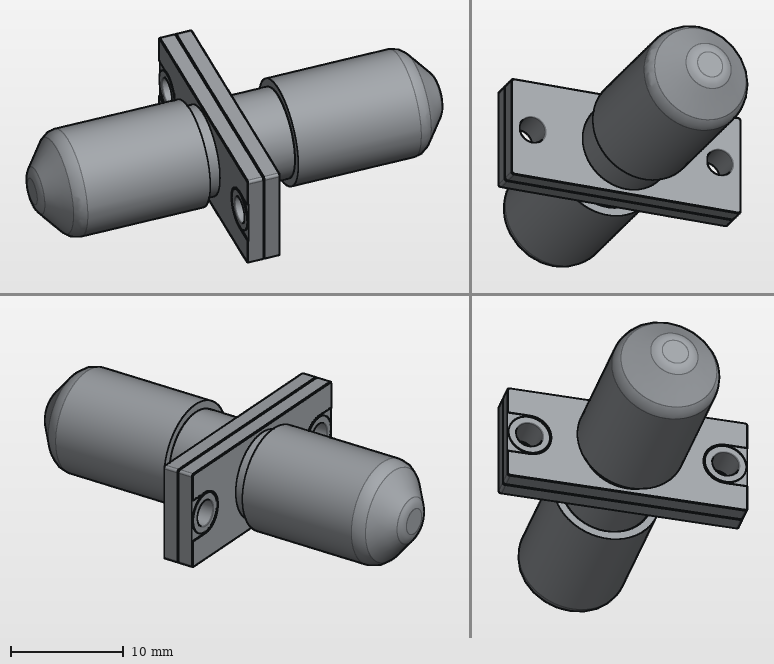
import cadquery as cq
import math


flange_width = 22.05
flange_height = 9.3
half_flange_thickness = 1.55
flange_corner_radius = 0.25
flange_edge_chamfer = 0.08

hole_spacing = 18.0
hole_diameter = 2.45
hole_rim_radius = 0.05
slot_width = 4.06
slot_depth = 0.1
boss_diameter = 3.8

barrel_diameter = 8.4
front_barrel_exposed = 1.2
rear_barrel_exposed = 4.05
barrel_end_chamfer = 0.06

cap_diameter = 9.86
cap_length = 15.0
cone_half_angle = 50.0
cap_tip_diameter = 3.5
cap_blend_radius = 1.5

front_cap_mouth = half_flange_thickness + front_barrel_exposed
rear_cap_mouth = half_flange_thickness + rear_barrel_exposed


def make_half_flange(side):
    """Half of the flange on the side -1 (front) or +1 (rear) of the joint, edges chamfered."""
    plate = (
        cq.Workplane("XY")
        .box(flange_width, half_flange_thickness, flange_height)
        .edges("|Y")
        .fillet(flange_corner_radius)
        .faces("<Y or >Y")
        .edges()
        .chamfer(flange_edge_chamfer)
    )
    return plate.translate((0, side * half_flange_thickness / 2, 0))


def cylinder_along_y(diameter, start, end):
    """Cylinder on the Y axis from Y = start to Y = end."""
    return (
        cq.Workplane("XZ", origin=(0, start, 0))
        .circle(diameter / 2)
        .extrude(start - end)
    )


def make_slot_cut(side):
    """Shallow slot on the front face at the -X (-1) or +X (+1) end, leaving the ring boss standing."""
    front_face = -half_flange_thickness
    slot_floor = front_face + slot_depth
    round_end = cylinder_along_y(slot_width, front_face, slot_floor)
    straight = (
        cq.Workplane("XY")
        .box(flange_width, slot_depth, slot_width)
        .translate((side * flange_width / 2, front_face + slot_depth / 2, 0))
    )
    boss = cylinder_along_y(boss_diameter, front_face, slot_floor)
    return round_end.union(straight).cut(boss).translate((side * hole_spacing / 2, 0, 0))


def drill_screw_hole(flange, side):
    """Screw hole through the flange at the -X (-1) or +X (+1) end, with both rims rounded."""
    hole_x = side * hole_spacing / 2
    hole = cylinder_along_y(hole_diameter, -half_flange_thickness, half_flange_thickness)
    reach = hole_diameter
    around_hole = cq.selectors.BoxSelector(
        (hole_x - reach, -reach, -reach),
        (hole_x + reach, reach, reach),
    )
    drilled = flange.cut(hole.translate((hole_x, 0, 0)))
    return drilled.edges(around_hole).edges("%CIRCLE").fillet(hole_rim_radius)


def make_adapter():
    """Flange with its joint groove, screw holes and slots, and the barrel running through it."""
    adapter = make_half_flange(-1).union(make_half_flange(1))
    for side in (-1, 1):
        adapter = drill_screw_hole(adapter, side).cut(make_slot_cut(side))
    barrel = (
        cylinder_along_y(barrel_diameter, -front_cap_mouth, rear_cap_mouth)
        .faces("<Y or >Y")
        .edges()
        .chamfer(barrel_end_chamfer)
    )
    return adapter.union(barrel)


def make_cap(mouth, side):
    """Dust cap with its mouth at the given distance from the joint, pointing to -Y (-1) or +Y (+1)."""
    cone_height = (cap_diameter - cap_tip_diameter) / 2
    cone_length = cone_height / math.tan(math.radians(cone_half_angle))
    tip = mouth + cap_length
    outline = [
        (0, side * mouth),
        (cap_diameter / 2, side * mouth),
        (cap_diameter / 2, side * (tip - cone_length)),
        (cap_tip_diameter / 2, side * tip),
        (0, side * tip),
    ]
    blank = cq.Workplane("XY").polyline(outline).close().revolve(360, (0, 0, 0), (0, 1, 0))
    mouth_face = "<Y" if side > 0 else ">Y"
    return blank.edges("%CIRCLE").edges(f"not({mouth_face})").fillet(cap_blend_radius)


adapter = make_adapter()
front_cap = make_cap(front_cap_mouth, -1)
rear_cap = make_cap(rear_cap_mouth, 1)

result = cq.Compound.makeCompound([adapter.val(), front_cap.val(), rear_cap.val()])